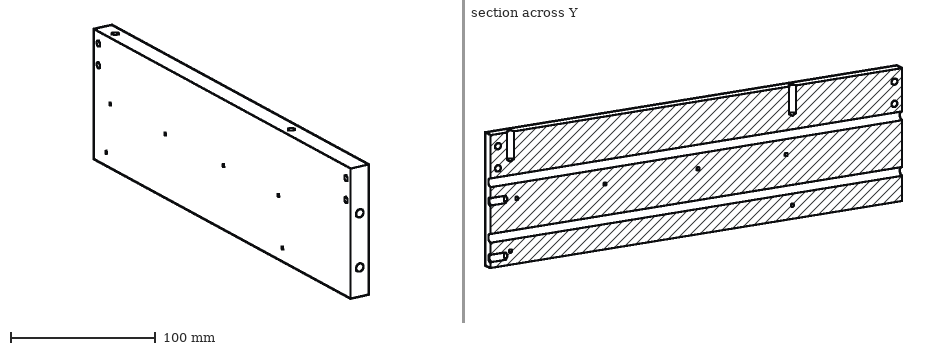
import cadquery as cq
import math

LENGTH = 327.0
THICKNESS = 15.0
HEIGHT = 96.0
MID_PLANE = THICKNESS / 2

MOUNT_DIAMETER = 4.2
MOUNT_END_DISTANCE = 6.0
MOUNT_TOP_DISTANCE = 9.0
MOUNT_SPACING = 16.0

SMALL_DIAMETER = 2.05
PATTERN_CENTER_X = 128.0
LOWER_SPACING = 224.0
LOWER_Z = 10.0
MIDDLE_OUTER_SPACING = 214.0
MIDDLE_INNER_SPACING = 74.0
MIDDLE_Z = 47.2

TOP_HOLE_DIAMETER = 5.0
TOP_HOLE_DEPTH = 20.0

CHANNEL_DIAMETER = 6.0
CHANNEL_HEIGHTS = (21.5, 61.5)

END_HOLE_DIAMETER = 5.0
END_HOLE_DEPTH = 12.0
END_HOLE_HEIGHTS = (7.0, 47.8)
COUNTERSINK_DIAMETER = 6.0
COUNTERSINK_DEPTH = 0.5

DRILL_POINT_ANGLE = 118.0


def drilled_hole(diameter, depth, start, direction):
    """Cylinder of the given depth with a conical drill point beyond it."""
    radius = diameter / 2
    point_length = radius / math.tan(math.radians(DRILL_POINT_ANGLE / 2))
    bore = cq.Solid.makeCylinder(radius, depth, start, direction)
    point = cq.Solid.makeCone(radius, 0, point_length, start + direction * depth, direction)
    return bore.fuse(point)


def through_thickness(diameter, x, z):
    """Cylinder along Y across the whole plate thickness."""
    return cq.Solid.makeCylinder(diameter / 2, THICKNESS, cq.Vector(x, 0, z), cq.Vector(0, 1, 0))


def centered_pair(spacing):
    """X positions of two holes placed evenly about the pattern centre."""
    return (PATTERN_CENTER_X - spacing / 2, PATTERN_CENTER_X + spacing / 2)


def mounting_holes():
    upper_z = HEIGHT - MOUNT_TOP_DISTANCE
    return [
        through_thickness(MOUNT_DIAMETER, x, z)
        for x in (MOUNT_END_DISTANCE, LENGTH - MOUNT_END_DISTANCE)
        for z in (upper_z, upper_z - MOUNT_SPACING)
    ]


def small_holes():
    lower = [through_thickness(SMALL_DIAMETER, x, LOWER_Z) for x in centered_pair(LOWER_SPACING)]
    middle_x = centered_pair(MIDDLE_OUTER_SPACING) + centered_pair(MIDDLE_INNER_SPACING)
    middle = [through_thickness(SMALL_DIAMETER, x, MIDDLE_Z) for x in middle_x]
    return lower + middle


def top_edge_holes():
    down = cq.Vector(0, 0, -1)
    return [
        drilled_hole(TOP_HOLE_DIAMETER, TOP_HOLE_DEPTH, cq.Vector(x, MID_PLANE, HEIGHT), down)
        for x in centered_pair(LOWER_SPACING)
    ]


def lengthwise_channels():
    return [
        cq.Solid.makeCylinder(CHANNEL_DIAMETER / 2, LENGTH, cq.Vector(0, MID_PLANE, z), cq.Vector(1, 0, 0))
        for z in CHANNEL_HEIGHTS
    ]


def countersunk_end_hole(z):
    inward = cq.Vector(1, 0, 0)
    mouth = cq.Vector(0, MID_PLANE, z)
    hole = drilled_hole(END_HOLE_DIAMETER, END_HOLE_DEPTH, mouth, inward)
    countersink = cq.Solid.makeCone(
        COUNTERSINK_DIAMETER / 2, END_HOLE_DIAMETER / 2, COUNTERSINK_DEPTH, mouth, inward
    )
    return hole.fuse(countersink)


def end_holes():
    return [countersunk_end_hole(z) for z in END_HOLE_HEIGHTS]


plate = cq.Workplane("XY").box(LENGTH, THICKNESS, HEIGHT, centered=False)
holes = mounting_holes() + small_holes() + top_edge_holes() + lengthwise_channels() + end_holes()
result = plate
for hole in holes:
    result = result.cut(cq.Workplane(obj=hole))